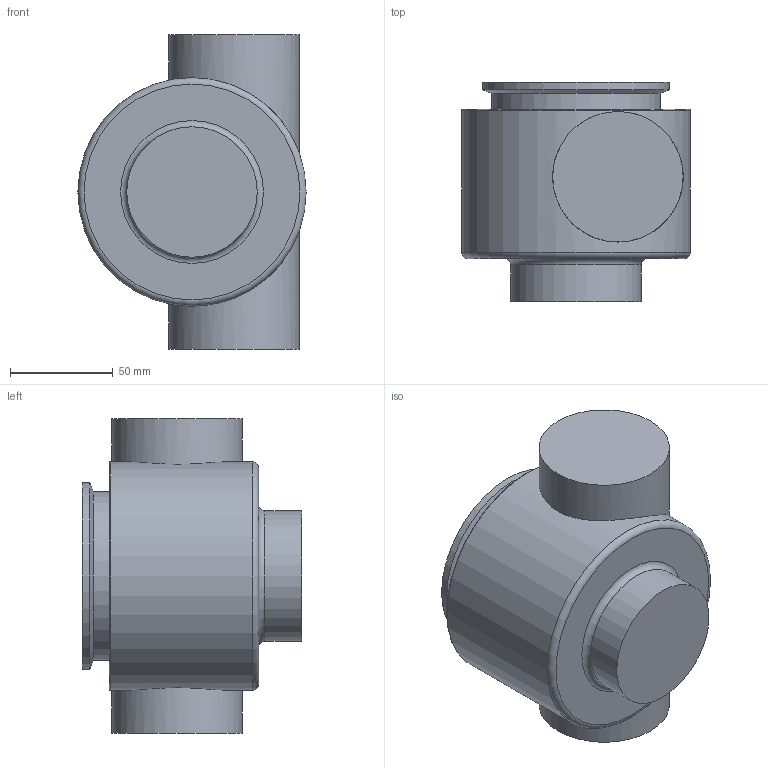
import cadquery as cq


BODY_DIAMETER = 111.1
BODY_FRONT_Y = -39.7
BODY_BACK_Y = 32.9
BODY_FRONT_FILLET = 3.0
BODY_BACK_FILLET = 0.5

TUBE_DIAMETER = 63.5
PIPE_LENGTH = 153.16
PIPE_OFFSET_X = 20.4
NOZZLE_LENGTH = 21.0
NOZZLE_FILLET = 3.0

OVERALL_DEPTH = 106.81
FLANGE_DIAMETER = 91.0
FLANGE_RIM_THICKNESS = 3.6
FLANGE_CONE_DEPTH = 1.7
NECK_DIAMETER = 82.0

NOZZLE_END_Y = BODY_FRONT_Y - NOZZLE_LENGTH
FLANGE_BACK_Y = NOZZLE_END_Y + OVERALL_DEPTH


def cylinder_along_y(diameter, start_y, end_y):
    """Solid cylinder on the Y axis from start_y to end_y."""
    plane = cq.Workplane("XZ", origin=(0, end_y, 0))
    return plane.circle(diameter / 2).extrude(end_y - start_y)


def make_body():
    body = cylinder_along_y(BODY_DIAMETER, BODY_FRONT_Y, BODY_BACK_Y)
    body = body.faces("<Y").edges().fillet(BODY_FRONT_FILLET)
    return body.faces(">Y").edges().fillet(BODY_BACK_FILLET)


def make_nozzle():
    """Front nozzle with a concave fillet where it leaves the body."""
    radius = TUBE_DIAMETER / 2
    fillet_end_y = BODY_FRONT_Y - NOZZLE_FILLET
    profile = (
        cq.Workplane("XY")
        .moveTo(0, NOZZLE_END_Y)
        .lineTo(radius, NOZZLE_END_Y)
        .lineTo(radius, fillet_end_y)
        .radiusArc((radius + NOZZLE_FILLET, BODY_FRONT_Y), NOZZLE_FILLET)
        .lineTo(radius + NOZZLE_FILLET, 0)
        .lineTo(0, 0)
        .close()
    )
    return profile.revolve(360, (0, 0), (0, 1))


def make_clamp_flange():
    """Neck and rim with a conical clamping face, as one revolved profile."""
    neck_radius = NECK_DIAMETER / 2
    rim_radius = FLANGE_DIAMETER / 2
    rim_front_y = FLANGE_BACK_Y - FLANGE_RIM_THICKNESS
    profile = (
        cq.Workplane("XY")
        .moveTo(0, 0)
        .lineTo(neck_radius, 0)
        .lineTo(neck_radius, rim_front_y - FLANGE_CONE_DEPTH)
        .lineTo(rim_radius, rim_front_y)
        .lineTo(rim_radius, FLANGE_BACK_Y)
        .lineTo(0, FLANGE_BACK_Y)
        .close()
    )
    return profile.revolve(360, (0, 0), (0, 1))


def make_pipe():
    """Pipe passing through the body, standing out equally above and below."""
    plane = cq.Workplane("XY").center(PIPE_OFFSET_X, 0)
    return plane.circle(TUBE_DIAMETER / 2).extrude(PIPE_LENGTH / 2, both=True)


result = make_body().union(make_nozzle()).union(make_clamp_flange()).union(make_pipe())